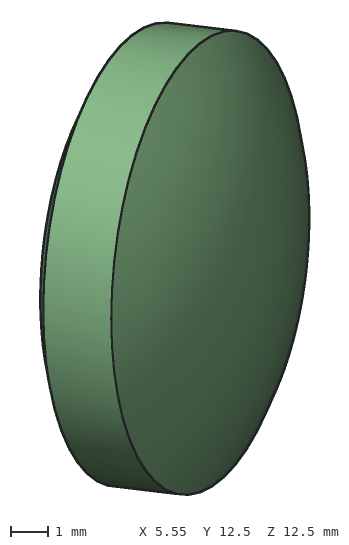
import cadquery as cq

lens_diameter = 12.5
centre_thickness = 5.55
edge_thickness = 2.0

lens_radius = lens_diameter / 2
half_centre = centre_thickness / 2
half_edge = edge_thickness / 2

sag = half_centre - half_edge
sphere_radius = (lens_radius**2 + sag**2) / (2 * sag)


def lens_half_profile():
    """Half section of the lens in the XY plane, from the axis out to the rim."""
    return (
        cq.Workplane("XY")
        .moveTo(-half_centre, 0)
        .radiusArc((-half_edge, -lens_radius), -sphere_radius)
        .lineTo(half_edge, -lens_radius)
        .radiusArc((half_centre, 0), -sphere_radius)
        .close()
    )


result = lens_half_profile().revolve(360, (0, 0, 0), (1, 0, 0))